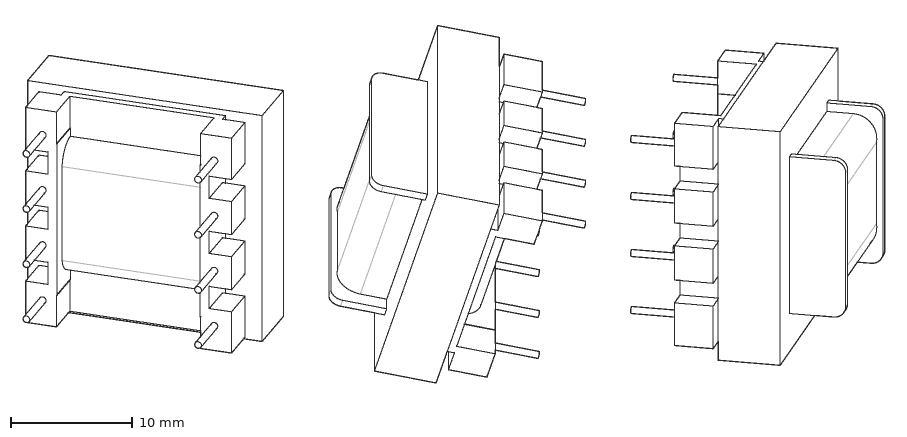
import cadquery as cq

core_side = 20.5
core_depth = 5.25
core_front = -core_depth / 2
core_back = core_depth / 2

terminal_front = core_front - 4.0
flange_front = core_front - 0.72
cheek_back = core_back + 4.75

bobbin_height = 19.5
flange_half_width = 7.05
rail_inner = 6.3
rail_outer = 9.0

cheek_inner = 6.25
cheek_outer = 6.95
cheek_height = 13.75
cheek_corner_radius = 1.0

winding_front = terminal_front + 1.25
winding_back = cheek_back - 0.55
winding_top = 6.13
winding_bottom = -5.7
front_top_radius = 2.06
front_bottom_radius = 1.9
back_radius = 2.0
front_flat_half_height = 4.26
back_arc_depth = 1.95
back_arc_height = 2.35

pin_diameter = 0.6
pin_length = 4.0
pin_pitch = 5.0
pins_per_row = 4
pin_row_x = 7.5
notch_width = 2.0


def box(x_range, y_range, z_range):
    """Box filling the given (low, high) range on each axis."""
    ranges = (x_range, y_range, z_range)
    sizes = [high - low for low, high in ranges]
    corner = tuple(low for low, high in ranges)
    return cq.Workplane("XY").box(*sizes, centered=False).translate(corner)


def centred_range(size):
    """Range of the given size, centred on zero."""
    return (-size / 2, size / 2)


def side_range(side, inner, outer):
    """X range between two distances from the middle, on side -1 or +1."""
    return tuple(sorted((side * inner, side * outer)))


def evenly_spaced(count):
    """Positions at the pin pitch, centred on zero."""
    return [(i - (count - 1) / 2) * pin_pitch for i in range(count)]


def make_core():
    side = centred_range(core_side)
    return box(side, (core_front, core_back), side)


def make_flange():
    return box(
        (-flange_half_width, flange_half_width),
        (flange_front, core_front),
        centred_range(bobbin_height),
    )


def make_winding():
    back_arc_start = winding_back - back_arc_depth
    return (
        cq.Workplane("YZ", origin=(-cheek_inner, 0, 0))
        .moveTo(winding_front, -front_flat_half_height)
        .lineTo(winding_front, front_flat_half_height)
        .radiusArc((flange_front, winding_top), front_top_radius)
        .lineTo(back_arc_start, winding_top)
        .radiusArc((winding_back, winding_top - back_arc_height), back_radius)
        .lineTo(winding_back, winding_bottom + back_arc_height)
        .radiusArc((back_arc_start, winding_bottom), back_radius)
        .lineTo(flange_front, winding_bottom)
        .radiusArc((winding_front, -front_flat_half_height), front_bottom_radius)
        .close()
        .extrude(2 * cheek_inner)
    )


def make_cheek(side):
    cheek = box(
        side_range(side, cheek_inner, cheek_outer),
        (terminal_front, cheek_back),
        centred_range(cheek_height),
    )
    return cheek.edges("|X and >Y").fillet(cheek_corner_radius)


def make_terminal_rail(side):
    rail_depth = (terminal_front, flange_front)
    rail = box(
        side_range(side, rail_inner, rail_outer),
        rail_depth,
        centred_range(bobbin_height),
    )
    for z in evenly_spaced(pins_per_row - 1):
        notch = box(
            side_range(side, flange_half_width, rail_outer),
            rail_depth,
            (z - notch_width / 2, z + notch_width / 2),
        )
        rail = rail.cut(notch)
    return rail


def make_pin_row(side):
    points = [(side * pin_row_x, z) for z in evenly_spaced(pins_per_row)]
    return (
        cq.Workplane("XZ", origin=(0, terminal_front, 0))
        .pushPoints(points)
        .circle(pin_diameter / 2)
        .extrude(pin_length)
    )


result = make_core().union(make_flange()).union(make_winding())
for side in (-1, 1):
    result = result.union(make_cheek(side))
    result = result.union(make_terminal_rail(side))
    result = result.union(make_pin_row(side))